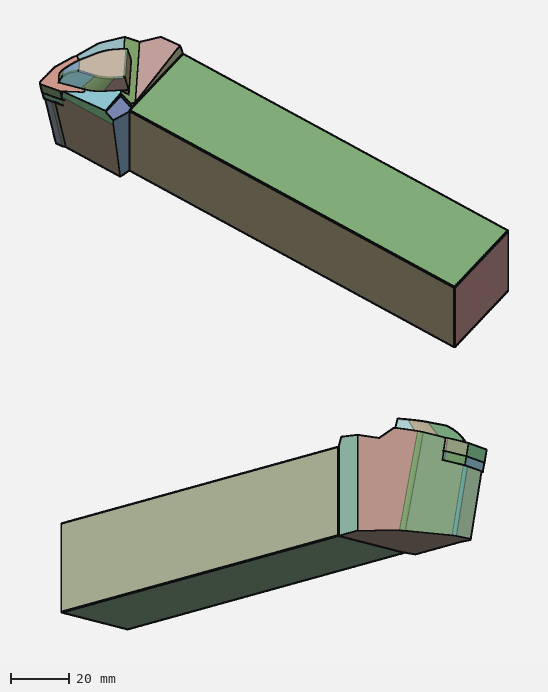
import cadquery as cq
import math

TOTAL_LENGTH = 170
SHANK_SIZE = 32.0
SHANK_START = 32.3
SHANK_CHAMFER = 0.3

LEAN_X = math.tan(math.radians(6.5))
LEAN_Y = math.tan(math.radians(6))
SEAT_HEIGHT = 32.6
HEAD_FRONT = -7.0
HEAD_FRONT_KINK = 30.0
HEAD_FOOT_FRONT = HEAD_FRONT + LEAN_Y * HEAD_FRONT_KINK
HEAD_END = 30.8
FLANK_TOP = (23.0, SHANK_SIZE)
FLANK_END = (8.5, 17.2)
FLANK_EDGE = (10.4, 19.0)
SIDE_WALL_BACK = (20.9, 40.8)
SIDE_CORNER = (4.6, 3.5)
NOSE_OUTLINE = [(3.7, -3.5), (4.8, -4.5), (7.3, -4.2)]
FRONT_WALL_START = 8.5
UPRIGHT_START = 5.8
WALL_BLEND = 5.6
HEAD_STOCK_HEIGHT = 39.1

STEP_DROP = 4.5
STEP_EDGE = 1.1
RAMP_START = (27.5, 34.5)
RAMP_RUN = 8.5
RAMP_DROP = 6.0
RAMP_BACK = 1.9
BEVEL_WIDTH = 1.2
BEVEL_HEIGHT = 2.9

TIP_Y = -8.0
INSCRIBED_RADIUS = 12.7 / 2
HALF_CORNER = math.radians(40)
HALF_BLUNT = math.radians(80)
TIP_HEADING = 225
NOSE_RADIUS = 0.8
INSERT_THICKNESS = 4.8
SHIM_THICKNESS = 3.2
SHIM_INSET = 0.05

CLAMP_ORIGIN = (24.3, 9.5)
CLAMP_DIRECTION = 212
CLAMP_HEIGHT = 6.3
CLAMP_REAR = -1.5
CLAMP_REAR_TOP = -1.2
CLAMP_LOFT_START = -1.7
CLAMP_LENGTH = 23.1
CLAMP_NOSE_START = 15.1
CLAMP_NOSE_MIDDLE = (19.7, 4.0)
CLAMP_NOSE_HEIGHT = 0.7
CLAMP_BASE = [(7.3, 7.0), (11.5, 6.5), (15.3, 5.1), (CLAMP_LENGTH, 2.0)]
CLAMP_TOP = [(2.4, 6.5), (5.8, 6.1), (9.2, 5.1), (19.0, 0.7)]
CLAMP_FILLET = 0.5
HOOK_WIDTH = 14.3
HOOK_DEPTH = 2.4

FAR = 102

seat = cq.Plane(origin=(0, 0, SEAT_HEIGHT), xDir=(1, 0, LEAN_X), normal=(-LEAN_X, -LEAN_Y, 1))
clamp_base = cq.Workplane(seat).center(*CLAMP_ORIGIN).plane.rotated((0, 0, CLAMP_DIRECTION))
clamp_side = clamp_base.rotated((90, 0, 0))


def trigon(inset, top, bottom):
    """Trigon plate with rounded 80-degree corners, between two depths below the seat plane."""
    tip = seat.toLocalCoords(cq.Vector(0, TIP_Y, SEAT_HEIGHT + LEAN_Y * TIP_Y))
    nose_to_centre = (INSCRIBED_RADIUS - NOSE_RADIUS) / math.sin(HALF_CORNER)
    heading = math.radians(TIP_HEADING)
    centre_x = tip.x + NOSE_RADIUS - nose_to_centre * math.cos(heading)
    centre_y = tip.y + NOSE_RADIUS - nose_to_centre * math.sin(heading)

    radius = INSCRIBED_RADIUS - inset
    sharp_reach = radius / math.sin(HALF_CORNER)
    blunt_reach = radius / math.sin(HALF_BLUNT)
    points = []
    for step in range(6):
        reach = blunt_reach if step % 2 else sharp_reach
        angle = math.radians(TIP_HEADING + 60 * step)
        points.append((centre_x + reach * math.cos(angle), centre_y + reach * math.sin(angle)))
    plate = cq.Workplane(seat).workplane(offset=-bottom).polyline(points).close().extrude(bottom - top)
    for x, y in points[::2]:
        mid_edge = seat.toWorldCoords((x, y, -(top + bottom) / 2)).toTuple()
        plate = plate.edges(cq.selectors.NearestToPointSelector(mid_edge)).fillet(NOSE_RADIUS)
    return plate


def shank():
    length = TOTAL_LENGTH - SHANK_START
    bar = cq.Workplane().box(length, SHANK_SIZE, SHANK_SIZE, centered=False)
    return bar.edges().chamfer(SHANK_CHAMFER).translate((SHANK_START, 0, 0))


def blend_wall_edge(walls, middle):
    edge = cq.selectors.NearestToPointSelector(middle.toTuple())
    return walls.edges(edge).fillet(WALL_BLEND)


def head_walls():
    rise = cq.Vector(-LEAN_X, -LEAN_Y, 1) * HEAD_STOCK_HEIGHT
    foot = [
        SIDE_WALL_BACK, SIDE_CORNER, *NOSE_OUTLINE, (FRONT_WALL_START, HEAD_FOOT_FRONT),
        (FAR, HEAD_FOOT_FRONT), (FAR, SIDE_WALL_BACK[1]),
    ]
    wire = cq.Wire.makePolygon([cq.Vector(x, y, 0) for x, y in foot], close=True)
    leaning = cq.Workplane(cq.Solid.extrudeLinear(wire, [], rise))
    leaning = blend_wall_edge(leaning, cq.Vector(*SIDE_CORNER, 0) + rise / 2)

    flank_foot = tuple(2 * end - top for top, end in zip(FLANK_TOP, FLANK_END))
    limits = [
        FLANK_TOP, flank_foot, (flank_foot[0], TIP_Y),
        (UPRIGHT_START, TIP_Y), (UPRIGHT_START, HEAD_FRONT),
        (HEAD_END, HEAD_FRONT), (SHANK_START, 0), (SHANK_START, SHANK_SIZE),
    ]
    upright = cq.Workplane().polyline(limits).close().extrude(HEAD_STOCK_HEIGHT)
    return blend_wall_edge(leaning.intersect(upright), cq.Vector(*FLANK_EDGE, HEAD_STOCK_HEIGHT / 2))


def below_top():
    """Space under the seat plane, stepped down behind the clamp."""
    profile = [
        (FAR, -FAR), (FAR, 0), (STEP_EDGE, 0), (STEP_EDGE - STEP_DROP, -STEP_DROP),
        (-FAR, -STEP_DROP), (-FAR, -FAR),
    ]
    return cq.Workplane(clamp_side).polyline(profile).close().extrude(FAR, both=True)


def above_ramp():
    x, z = RAMP_START
    profile = [(x, z), (x, FAR), (x + RAMP_RUN, FAR), (x + RAMP_RUN, z - RAMP_DROP)]
    return cq.Workplane("XZ", origin=(0, RAMP_BACK, 0)).polyline(profile).close().extrude(FAR)


def above_bevel():
    profile = [
        (SHANK_START, SHANK_SIZE), (SHANK_START, FAR), (SHANK_START - BEVEL_WIDTH, FAR),
        (SHANK_START - BEVEL_WIDTH, SHANK_SIZE + BEVEL_HEIGHT),
    ]
    return cq.Workplane("XZ", origin=(0, SHANK_SIZE, 0)).polyline(profile).close().extrude(FAR)


def clamp_outline(work, half_outline):
    """Symmetric finger outline: straight, bent and straight again on each side."""
    left = [(u, -v) for u, v in half_outline]
    shoulder, bend_middle, bend_end, tip = half_outline
    return (
        work.moveTo(CLAMP_LOFT_START, shoulder[1])
        .lineTo(*shoulder)
        .threePointArc(bend_middle, bend_end)
        .lineTo(*tip)
        .lineTo(*left[3])
        .lineTo(*left[2])
        .threePointArc(left[1], left[0])
        .lineTo(CLAMP_LOFT_START, left[0][1])
        .close()
    )


def clamp():
    base = clamp_outline(cq.Workplane(clamp_base), CLAMP_BASE)
    finger = clamp_outline(base.workplane(offset=CLAMP_HEIGHT), CLAMP_TOP).loft(ruled=True)
    profile = (
        cq.Workplane(clamp_side)
        .moveTo(CLAMP_REAR, 0)
        .lineTo(CLAMP_REAR_TOP, CLAMP_HEIGHT)
        .lineTo(CLAMP_NOSE_START, CLAMP_HEIGHT)
        .threePointArc(CLAMP_NOSE_MIDDLE, (CLAMP_LENGTH, CLAMP_NOSE_HEIGHT))
        .lineTo(CLAMP_LENGTH, 0)
        .close()
        .extrude(FAR, both=True)
    )
    finger = finger.intersect(profile)
    top = clamp_base.toWorldCoords((CLAMP_NOSE_START / 2, 0, CLAMP_HEIGHT)).toTuple()
    nose = clamp_base.toWorldCoords((CLAMP_NOSE_MIDDLE[0], 0, CLAMP_NOSE_MIDDLE[1])).toTuple()
    edges = finger.faces(cq.selectors.NearestToPointSelector(top)).edges()
    edges = edges.add(finger.faces(cq.selectors.NearestToPointSelector(nose)).edges())
    finger = edges.fillet(CLAMP_FILLET)
    hook = [(STEP_EDGE, 0), (CLAMP_REAR, 0), (STEP_EDGE - HOOK_DEPTH, -HOOK_DEPTH)]
    return finger.union(
        cq.Workplane(clamp_side).polyline(hook).close().extrude(HOOK_WIDTH / 2, both=True)
    )


insert = trigon(0, 0, INSERT_THICKNESS)
shim = trigon(SHIM_INSET, INSERT_THICKNESS, INSERT_THICKNESS + SHIM_THICKNESS)
head = head_walls().intersect(below_top()).cut(above_ramp()).cut(above_bevel())
holder = head.union(shank()).union(shim).cut(insert).union(clamp())

result = cq.Compound.makeCompound([holder.val(), insert.val()])